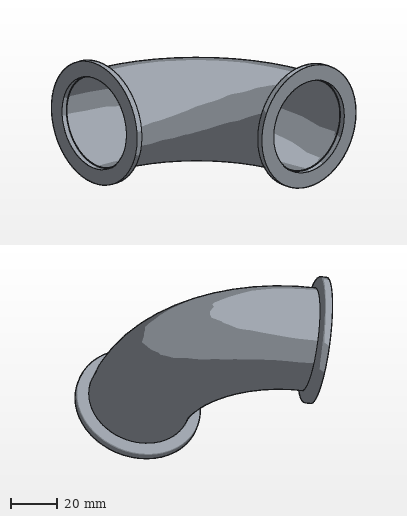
import cadquery as cq
import math

overall_length = 93.0
flange_diameter = 55.0
flange_bore = 41.2
flange_thickness = 4.5
cone_angle = 15.0
rim_round = 1.0
tube_outer_diameter = 44.7
tube_inner_diameter = 40.5
tube_end_depth = 2.5
bend_start_depth = 3.5

flange_radius = flange_diameter / 2
bore_radius = flange_bore / 2
tube_radius = tube_outer_diameter / 2
port_offset = -overall_length / 2 + flange_radius
face_position = overall_length / 2
port_to_axis = overall_length - flange_radius
bend_radius = port_to_axis - bend_start_depth
cone_slope = math.tan(math.radians(cone_angle))
cone_height = (flange_radius - tube_radius) * cone_slope
rim_height = flange_thickness - cone_height
cone_top = rim_height + (flange_radius - bore_radius) * cone_slope

round_sweep = math.radians(90 - cone_angle)
round_center_radius = flange_radius - rim_round
round_center_height = rim_height - rim_round * math.tan(round_sweep / 2)


def rim_round_point(angle):
    return (
        round_center_radius + rim_round * math.cos(angle),
        round_center_height + rim_round * math.sin(angle),
    )


round_start = rim_round_point(0)
round_middle = rim_round_point(round_sweep / 2)
round_end = rim_round_point(round_sweep)

front_port = cq.Plane(origin=(port_offset, -face_position, 0), xDir=(1, 0, 0), normal=(0, 1, 0))
side_port = cq.Plane(origin=(face_position, -port_offset, 0), xDir=(0, 1, 0), normal=(-1, 0, 0))


def make_flange(port):
    """Clamp flange with a tapered, rounded rim and a socket for the tube end."""
    outline = (
        cq.Workplane("XZ")
        .moveTo(bore_radius, 0)
        .lineTo(flange_radius, 0)
        .lineTo(*round_start)
        .threePointArc(round_middle, round_end)
        .lineTo(bore_radius, cone_top)
        .close()
    )
    blank = outline.revolve(360, (0, 0, 0), (0, 1, 0))
    flange = blank.val().moved(cq.Location(port))
    socket = sweep_elbow(tube_outline())
    return cq.Workplane(flange).cut(socket).val()


def tube_outline():
    """Outer circle of the tube, drawn at its end in the front flange."""
    return cq.Workplane(front_port).workplane(offset=tube_end_depth).circle(tube_radius)


def sweep_elbow(section):
    """Sweep a section at the tube end through a quarter bend with a short straight end at each port."""
    bend_start = -face_position + bend_start_depth
    bend_end = face_position - bend_start_depth
    center_x = port_offset + bend_radius
    center_y = bend_start
    diagonal = bend_radius * math.sqrt(0.5)
    path = (
        cq.Workplane("XY")
        .moveTo(port_offset, -face_position + tube_end_depth)
        .lineTo(port_offset, bend_start)
        .threePointArc((center_x - diagonal, center_y + diagonal), (bend_end, -port_offset))
        .lineTo(face_position - tube_end_depth, -port_offset)
    )
    return section.sweep(path)


def make_elbow_tube():
    """Thin-walled tube bent through a right angle, open at both ends."""
    return sweep_elbow(tube_outline().circle(tube_inner_diameter / 2))


elbow_tube = make_elbow_tube()
flanges = [make_flange(port) for port in (front_port, side_port)]

result = cq.Compound.makeCompound([elbow_tube.val(), *flanges])